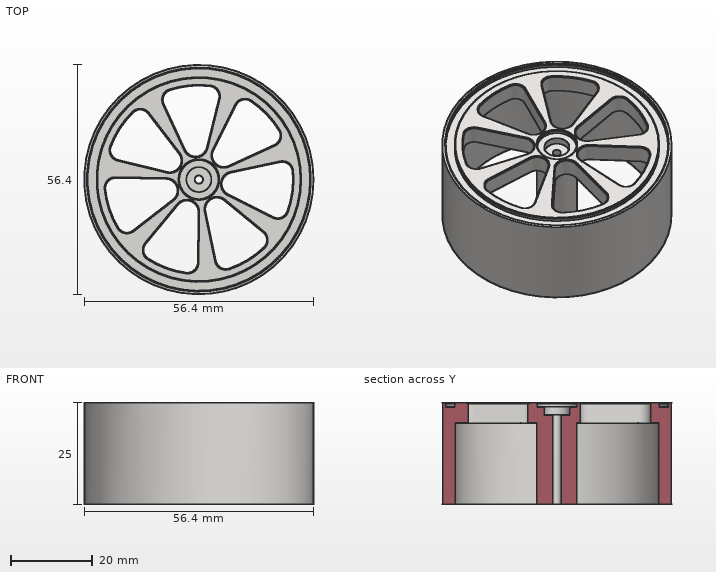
import cadquery as cq
import math

outer_diameter = 56.4
height = 25.0
lip_inner_diameter = 54.6
rim_inner_diameter = 50.0

web_thickness = 5.0
web_raised_diameter = 50.35
recess_depth = 1.0
edge_chamfer = 0.25

hub_diameter = 10.0
hub_recess_diameter = 9.6
counterbore_diameter = 6.15
counterbore_depth = 2.0
bore_diameter = 2.0

window_count = 7
window_pitch = 360.0 / window_count
first_window_angle = 95.5
window_half_angle = 19.4
window_inner_radius = 5.7
window_outer_radius = 23.05
window_corner_radius = 2.5

web_bottom = height - web_thickness
recess_floor = height - recess_depth
counterbore_floor = recess_floor - counterbore_depth


def cylinder(diameter, bottom, top):
    """Solid cylinder on the wheel axis between two levels."""
    return cq.Workplane("XY").workplane(offset=bottom).circle(diameter / 2).extrude(top - bottom)


def flared_cylinder(diameter, bottom):
    """Cutter up to the top face that widens at its upper end to chamfer the opening."""
    radius = diameter / 2
    return (
        cq.Workplane("XZ")
        .moveTo(0, bottom)
        .lineTo(radius, bottom)
        .lineTo(radius, height - edge_chamfer)
        .lineTo(radius + edge_chamfer, height)
        .lineTo(0, height)
        .close()
        .revolve(360, (0, 0, 0), (0, 1, 0))
    )


def polar(radius, angle):
    """X and Y of a point given by radius and angle in degrees."""
    return radius * math.cos(math.radians(angle)), radius * math.sin(math.radians(angle))


def make_body():
    """Drum with a web at its upper end and a hub running the full height."""
    drum = cylinder(outer_diameter, 0, height)
    cavity = cylinder(rim_inner_diameter, 0, web_bottom)
    hub = cylinder(hub_diameter, 0, height)
    return drum.cut(cavity).union(hub)


def make_window():
    """Wedge window about +X with radial sides, a round inner end and an arc outer end."""
    half_angle = math.radians(window_half_angle)
    round_centre = window_inner_radius / (1 - math.sin(half_angle))
    tangent_radius = round_centre * math.cos(half_angle)
    wedge = (
        cq.Workplane("XY")
        .workplane(offset=web_bottom)
        .moveTo(*polar(tangent_radius, window_half_angle))
        .threePointArc((window_inner_radius, 0), polar(tangent_radius, -window_half_angle))
        .lineTo(*polar(window_outer_radius, -window_half_angle))
        .threePointArc((window_outer_radius, 0), polar(window_outer_radius, window_half_angle))
        .close()
        .extrude(web_thickness)
    )
    return wedge.edges("|Z and (>Y or <Y)").fillet(window_corner_radius)


def cut_windows(body):
    """Cut the ring of windows and chamfer their upper edges."""
    window = make_window()
    for index in range(window_count):
        angle = first_window_angle + index * window_pitch
        body = body.cut(window.rotate((0, 0, 0), (0, 0, 1), angle))
    window_outlines = body.faces(">Z").val().innerWires()
    window_edges = [edge for outline in window_outlines for edge in outline.Edges()]
    return body.newObject(window_edges).chamfer(edge_chamfer)


def make_groove():
    """Annular channel between the rim lip and the raised web, both with chamfered upper edges."""
    channel = flared_cylinder(lip_inner_diameter, recess_floor)
    raised_web = cylinder(web_raised_diameter, recess_floor, height)
    return channel.cut(raised_web.faces(">Z").edges().chamfer(edge_chamfer))


def make_hub_openings():
    """Chamfered recess, counterbore and through bore on the wheel axis."""
    recess = flared_cylinder(hub_recess_diameter, recess_floor)
    counterbore = cylinder(counterbore_diameter, counterbore_floor, height)
    bore = cylinder(bore_diameter, 0, height)
    return recess.union(counterbore).union(bore)


result = cut_windows(make_body())
result = result.cut(make_groove())
result = result.cut(make_hub_openings())